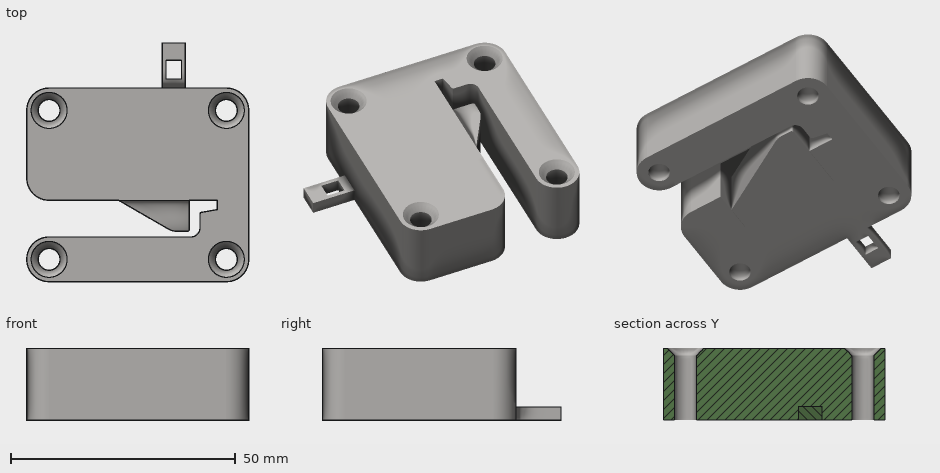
import cadquery as cq
import math

HOUSING_LENGTH = 49.4
HOUSING_HEIGHT = 16.0
LOWER_ARM_WIDTH = 10.0
SLOT_WIDTH = 8.1
UPPER_BLOCK_WIDTH = 25.0
CORNER_RADIUS = 5.0

SLOT_FLOOR_Y = LOWER_ARM_WIDTH
SLOT_ROOF_Y = SLOT_FLOOR_Y + SLOT_WIDTH
ARM_END_RADIUS = LOWER_ARM_WIDTH / 2
HOUSING_WIDTH = SLOT_ROOF_Y + UPPER_BLOCK_WIDTH

SLOT_END_X = 38.5
SLOT_END_RADIUS = 2.0
NOTCH_END_X = 42.35
NOTCH_MOUTH_DEPTH = 2.7
NOTCH_FLOOR_ANGLE = 10.0
NOTCH_LIP_RADIUS = 0.5
NOTCH_MOUTH_Y = SLOT_ROOF_Y - NOTCH_MOUTH_DEPTH
NOTCH_FLOOR_RISE = (NOTCH_END_X - SLOT_END_X) * math.tan(math.radians(NOTCH_FLOOR_ANGLE))

SCREW_HOLE_DIAMETER = 4.8
COUNTERSINK_DIAMETER = 8.0
COUNTERSINK_ANGLE = 90.0
SCREW_INSET = CORNER_RADIUS

BOLT_LEFT_X = 12.85
BOLT_RIGHT_X = 36.2
BOLT_HEIGHT = 12.0
BOLT_REACH = 6.9
BOLT_DEPTH_IN_HOUSING = 10.0
RAMP_ANGLE = 30.0
RAMP_MOUTH_X = 20.45
RAMP_TIP_RADIUS = 4.0
BOLT_TIP_RADIUS = 0.5

BOLT_SIDE_CLEARANCE = 0.1
BOLT_TOP_CLEARANCE = 0.2

BOLT_TIP_Y = SLOT_ROOF_Y - BOLT_REACH
BOLT_BACK_Y = SLOT_ROOF_Y + BOLT_DEPTH_IN_HOUSING
RAMP_SLOPE = math.tan(math.radians(RAMP_ANGLE))
RAMP_TOP_Y = SLOT_ROOF_Y + (RAMP_MOUTH_X - BOLT_LEFT_X) * RAMP_SLOPE
RAMP_TIP_X = RAMP_MOUTH_X + BOLT_REACH / RAMP_SLOPE

TAIL_WIDTH = 5.2
TAIL_THICKNESS = 3.0
TAIL_REACH = 10.0
TAIL_SETBACK = 0.9
WINDOW_WIDTH = 3.4
WINDOW_LENGTH = 4.1
WINDOW_END_MARGIN = 3.9

TAIL_LEFT_X = BOLT_RIGHT_X - TAIL_SETBACK - TAIL_WIDTH
TAIL_END_Y = HOUSING_WIDTH + TAIL_REACH


def box(left, front, length, width, height):
    """Box standing on the bottom plane, given by its -X, -Y corner."""
    return cq.Workplane("XY").box(length, width, height, centered=False).translate((left, front, 0))


def upright_edges_at(body, *points):
    """Vertical edges of a full-height body that stand at the given (x, y) points."""
    edges = body.newObject([])
    for x, y in points:
        nearest = cq.NearestToPointSelector((x, y, body.val().BoundingBox().center.z))
        edges = edges.add(body.edges("|Z").edges(nearest))
    return edges


def make_slot():
    slot = (
        cq.Workplane("XY")
        .moveTo(0, SLOT_FLOOR_Y)
        .lineTo(SLOT_END_X, SLOT_FLOOR_Y)
        .lineTo(SLOT_END_X, NOTCH_MOUTH_Y)
        .lineTo(NOTCH_END_X, NOTCH_MOUTH_Y + NOTCH_FLOOR_RISE)
        .lineTo(NOTCH_END_X, SLOT_ROOF_Y)
        .lineTo(0, SLOT_ROOF_Y)
        .close()
        .extrude(HOUSING_HEIGHT)
    )
    slot = upright_edges_at(slot, (SLOT_END_X, SLOT_FLOOR_Y)).fillet(SLOT_END_RADIUS)
    return upright_edges_at(slot, (SLOT_END_X, NOTCH_MOUTH_Y)).fillet(NOTCH_LIP_RADIUS)


def make_latch_pocket():
    """Room inside the upper block for the bolt and its tail, open at the bottom."""
    bolt_room = box(
        BOLT_LEFT_X - BOLT_SIDE_CLEARANCE,
        SLOT_ROOF_Y,
        BOLT_RIGHT_X - BOLT_LEFT_X + 2 * BOLT_SIDE_CLEARANCE,
        BOLT_DEPTH_IN_HOUSING,
        BOLT_HEIGHT + BOLT_TOP_CLEARANCE,
    )
    tail_room = box(TAIL_LEFT_X, SLOT_ROOF_Y, TAIL_WIDTH, UPPER_BLOCK_WIDTH, TAIL_THICKNESS)
    return bolt_room.union(tail_room)


def make_housing():
    block = box(0, 0, HOUSING_LENGTH, HOUSING_WIDTH, HOUSING_HEIGHT).cut(make_slot())
    rounded_corners = [
        (0, SLOT_ROOF_Y),
        (0, HOUSING_WIDTH),
        (HOUSING_LENGTH, 0),
        (HOUSING_LENGTH, HOUSING_WIDTH),
    ]
    block = upright_edges_at(block, *rounded_corners).fillet(CORNER_RADIUS)

    square_end = box(0, 0, ARM_END_RADIUS, LOWER_ARM_WIDTH, HOUSING_HEIGHT)
    round_end = (
        cq.Workplane("XY")
        .center(ARM_END_RADIUS, ARM_END_RADIUS)
        .circle(ARM_END_RADIUS)
        .extrude(HOUSING_HEIGHT)
    )
    block = block.cut(square_end.cut(round_end))
    block = block.cut(make_latch_pocket())

    screw_points = [
        (x, y)
        for x in (SCREW_INSET, HOUSING_LENGTH - SCREW_INSET)
        for y in (SCREW_INSET, HOUSING_WIDTH - SCREW_INSET)
    ]
    return (
        block.faces(">Z")
        .workplane(origin=(0, 0, HOUSING_HEIGHT))
        .pushPoints(screw_points)
        .cskHole(SCREW_HOLE_DIAMETER, COUNTERSINK_DIAMETER, COUNTERSINK_ANGLE)
    )


def make_latch():
    bolt = (
        cq.Workplane("XY")
        .moveTo(RAMP_TIP_X, BOLT_TIP_Y)
        .lineTo(BOLT_RIGHT_X, BOLT_TIP_Y)
        .lineTo(BOLT_RIGHT_X, BOLT_BACK_Y)
        .lineTo(BOLT_LEFT_X, BOLT_BACK_Y)
        .lineTo(BOLT_LEFT_X, RAMP_TOP_Y)
        .close()
        .extrude(BOLT_HEIGHT)
    )
    bolt = upright_edges_at(bolt, (RAMP_TIP_X, BOLT_TIP_Y)).fillet(RAMP_TIP_RADIUS)
    bolt = upright_edges_at(bolt, (BOLT_RIGHT_X, BOLT_TIP_Y)).fillet(BOLT_TIP_RADIUS)

    tail = box(TAIL_LEFT_X, BOLT_BACK_Y, TAIL_WIDTH, TAIL_END_Y - BOLT_BACK_Y, TAIL_THICKNESS)
    window = box(
        TAIL_LEFT_X + (TAIL_WIDTH - WINDOW_WIDTH) / 2,
        TAIL_END_Y - WINDOW_END_MARGIN - WINDOW_LENGTH,
        WINDOW_WIDTH,
        WINDOW_LENGTH,
        TAIL_THICKNESS,
    )
    return bolt.union(tail).cut(window)


housing = make_housing()
latch = make_latch()

result = cq.Compound.makeCompound([housing.val(), latch.val()])